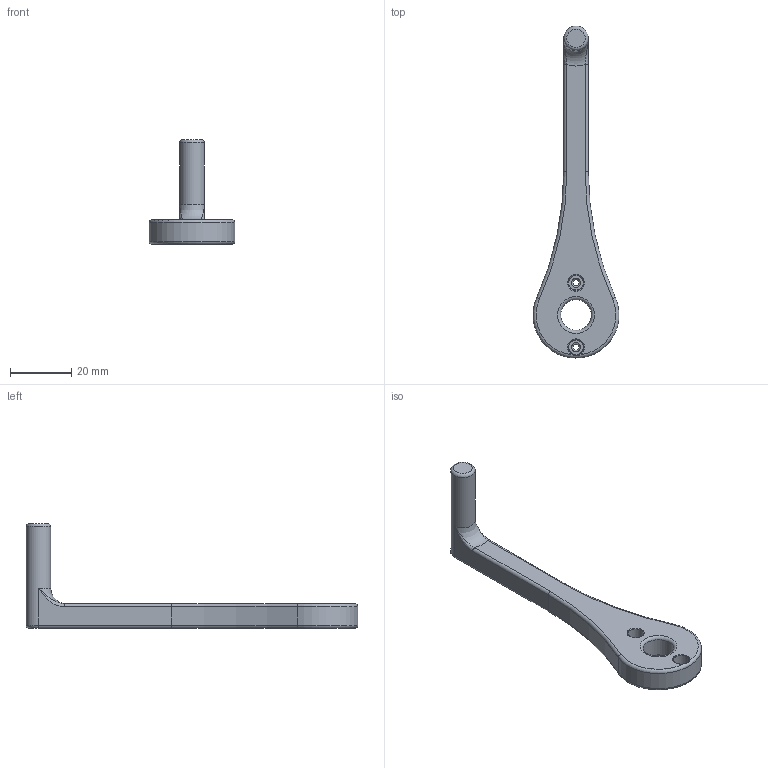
import cadquery as cq
import math

thickness = 8.0
head_radius = 14.0
arm_width = 8.0
post_distance = 90.0
post_height = 34.0
neck_radius = 100.0
post_blend_radius = 5.0
edge_radius = 1.0
pivot_diameter = 10.0
screw_offset = 10.5
screw_diameter = 2.0
counterbore_diameter = 5.1
counterbore_depth = 4.0
counterbore_lip_radius = 0.2
counterbore_floor_radius = 0.2
screw_lip_radius = 0.5

edge_search_margin = 0.1

half_width = arm_width / 2
neck_centre_x = half_width + neck_radius
neck_centre_y = math.sqrt((head_radius + neck_radius) ** 2 - neck_centre_x**2)
neck_share = head_radius / (head_radius + neck_radius)
head_tangent = (neck_centre_x * neck_share, neck_centre_y * neck_share)
arm_tangent = (half_width, neck_centre_y)
neck_angle = math.pi + math.atan2(neck_centre_y, neck_centre_x) / 2
neck_middle = (
    neck_centre_x + neck_radius * math.cos(neck_angle),
    neck_centre_y + neck_radius * math.sin(neck_angle),
)


def mirrored(point):
    """The same point on the other side of the centre line."""
    return (-point[0], point[1])


def cylinder(y, diameter, bottom, top):
    """Upright cylinder on the centre line of the lever."""
    return cq.Workplane("XY", origin=(0, y, bottom)).circle(diameter / 2).extrude(top - bottom)


def lever_outline():
    """Closed plan outline: round head, curved neck, straight arm, round end."""
    return (
        cq.Workplane("XY")
        .moveTo(*head_tangent)
        .threePointArc(neck_middle, arm_tangent)
        .lineTo(half_width, post_distance)
        .threePointArc((0, post_distance + half_width), (-half_width, post_distance))
        .lineTo(*mirrored(arm_tangent))
        .threePointArc(mirrored(neck_middle), mirrored(head_tangent))
        .threePointArc((0, -head_radius), head_tangent)
        .close()
    )


def post_blend():
    """Concave flare around the foot of the post, trimmed to the arm width on the arm side."""
    blend_top = thickness + post_blend_radius
    outer = half_width + post_blend_radius
    inset = post_blend_radius * (1 - math.cos(math.radians(45)))
    flare = (
        cq.Workplane("XZ", origin=(0, post_distance, 0))
        .lineTo(outer, 0)
        .lineTo(outer, thickness)
        .threePointArc((half_width + inset, thickness + inset), (half_width, blend_top))
        .lineTo(0, blend_top)
        .close()
        .revolve(360, (0, 0, 0), (0, 1, 0))
    )
    arm_strip = cq.Workplane("XY").box(arm_width, outer, blend_top, centered=(True, False, False))
    return flare.intersect(arm_strip.translate((0, post_distance - outer, 0)))


def lever_body():
    """Flat lever with the upright post and its blend joined on."""
    plate = lever_outline().extrude(thickness)
    post = cylinder(post_distance, arm_width, 0, post_height)
    return plate.union(post_blend()).union(post).clean()


def round_edges(body):
    """Round the underside, the post tip and the upper rim."""
    body = body.faces("<Z").edges().fillet(edge_radius)
    body = body.faces(">Z").edges().fillet(edge_radius)
    return body.faces("<Y").edges(">Z").fillet(edge_radius)


def round_lip(body, y, diameter, z, lip_radius):
    """Round the edge where a hole on the centre line opens at height z."""
    reach = diameter / 2 + edge_search_margin
    lip = cq.selectors.BoxSelector(
        (-reach, y - reach, z - edge_radius),
        (reach, y + reach, z + edge_radius),
        boundingbox=True,
    )
    return body.edges(lip).fillet(lip_radius)


def cut_pivot_hole(body):
    """Through hole in the middle of the head, rounded at both ends."""
    body = body.cut(cylinder(0, pivot_diameter, 0, thickness))
    for z in (0, thickness):
        body = round_lip(body, 0, pivot_diameter, z, edge_radius)
    return body


def cut_screw_hole(body, y):
    """Through hole below a counterbore whose lip and floor corner are rounded."""
    floor = thickness - counterbore_depth
    counterbore = cylinder(y, counterbore_diameter, floor, thickness)
    counterbore = counterbore.faces("<Z").edges().fillet(counterbore_floor_radius)
    body = body.cut(counterbore)
    body = round_lip(body, y, counterbore_diameter, thickness, counterbore_lip_radius)
    body = body.cut(cylinder(y, screw_diameter, 0, floor))
    return round_lip(body, y, screw_diameter, floor, screw_lip_radius)


result = lever_body()
result = round_edges(result)
result = cut_pivot_hole(result)
for screw_y in (-screw_offset, screw_offset):
    result = cut_screw_hole(result, screw_y)